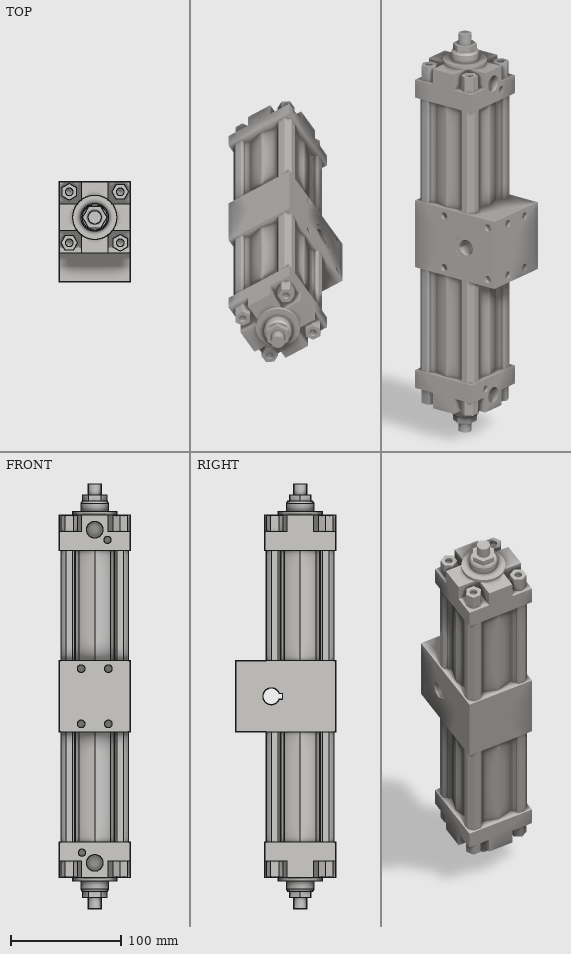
import cadquery as cq
import math


half_length = 193.0
nut_top = 183.0
nut_base = 177.0
boss_shoulder = 175.2
flange_top = 168.0
cover_top = 165.0
corner_step = 149.8
cover_base = 132.5

width = 65.0
half_width = width / 2

block_depth = 91.0
block_height = width
block_hole_diameter = 7.0
block_hole_depth = 9.5
block_hole_half_rise = 25.0
front_hole_half_spacing = 12.5
side_hole_half_spacing = 25.0

bore_y = -26.2
bore_diameter = 15.0
keyway_width = 5.0
keyway_reach = 10.0
bore_recess_diameter = 25.0
bore_recess_depth = 0.5

barrel_sides = 12
barrel_radius = 28.5
lug_outer = 31.0
lug_outer_chamfer = 4.5
lug_inner = 20.0
lug_inner_chamfer = 1.5
lug_step_level = 27.5
lug_step_width = 1.0

corner_notch = 12.0
tie_nut_top = 164.0
tie_nut_offset = 23.0
tie_nut_flats = 13.0
tie_hole_diameter = 7.0
tie_hole_depth = 4.0
tie_hole_cone = 2.5
port_diameter = 15.0
port_depth = 15.5
port_z = 151.5
bleed_diameter = 6.5
bleed_depth = 7.7
bleed_x = 11.5
bleed_z = 142.0

flange_diameter = 40.0
boss_diameter = 25.0
boss_top_diameter = 22.8
rod_nut_flats = 19.3
rod_diameter = 12.0


def hexagon_diameter(flats):
    """Corner-to-corner size of a hexagon from its size across flats."""
    return flats / math.cos(math.pi / 6)


def cylinder(diameter, bottom, top):
    return cq.Workplane("XY", origin=(0, 0, bottom)).circle(diameter / 2).extrude(top - bottom)


def hole_along_y(diameter, depth, face_y, x, z):
    """Cutter for a blind hole that enters a face looking toward -Y."""
    start = cq.Vector(x, face_y, z)
    return cq.Workplane(cq.Solid.makeCylinder(diameter / 2, depth, start, cq.Vector(0, 1, 0)))


def hole_along_x(diameter, depth, y, z):
    """Cutter for a blind hole that enters the block face looking toward -X."""
    start = cq.Vector(-half_width, y, z)
    return cq.Workplane(cq.Solid.makeCylinder(diameter / 2, depth, start, cq.Vector(1, 0, 0)))


def make_tube():
    """Tube on both sides of the block, with a stepped and chamfered lug at each corner."""
    bottom = cq.Workplane("XY", origin=(0, 0, -cover_base))
    tube = bottom.polygon(barrel_sides, 2 * barrel_radius).extrude(2 * cover_base)
    chamfer_start = lug_outer - lug_outer_chamfer
    wall = lug_inner - lug_inner_chamfer
    ledge = wall - lug_step_width
    half_outline = [
        (0, 0),
        (0, lug_step_level - ledge),
        (ledge, lug_step_level),
        (wall, lug_step_level),
        (wall, lug_outer - lug_inner_chamfer),
        (lug_inner, lug_outer),
        (chamfer_start, lug_outer),
    ]
    mirrored_half = [(y, x) for x, y in reversed(half_outline[1:])]
    lug = bottom.polyline(half_outline + mirrored_half).close().extrude(2 * cover_base)
    for quarter in range(4):
        tube = tube.union(lug.rotate((0, 0, 0), (0, 0, 1), 90 * quarter))
    return tube


def make_block():
    """Pinion block with four mounting holes in its -Y face and four in its -X face."""
    block_front = half_width - block_depth
    block = cq.Workplane("XY").box(width, block_depth, block_height)
    block = block.translate((0, half_width - block_depth / 2, 0))
    for side in (-1, 1):
        for level in (-1, 1):
            z = level * block_hole_half_rise
            x = side * front_hole_half_spacing
            y = bore_y + side * side_hole_half_spacing
            block = block.cut(hole_along_y(block_hole_diameter, block_hole_depth, block_front, x, z))
            block = block.cut(hole_along_x(block_hole_diameter, block_hole_depth, y, z))
    return block


def make_bore():
    """Cutter for the keyed through bore and the shallow round recess at its mouth."""
    bore = hole_along_x(bore_diameter, width, bore_y, 0)
    keyway = cq.Workplane("XY").box(width, keyway_reach, keyway_width)
    keyway = keyway.translate((0, bore_y + keyway_reach / 2, 0))
    recess = hole_along_x(bore_recess_diameter, bore_recess_depth, bore_y, 0)
    return bore.union(keyway).union(recess)


def make_tie_nut(turn):
    """Hexagonal tie-rod nut on the corner step, with a cone-bottomed hole in its top."""
    base = cq.Workplane("XY", origin=(0, 0, corner_step))
    nut = base.polygon(6, hexagon_diameter(tie_nut_flats)).extrude(tie_nut_top - corner_step)
    nut = nut.rotate((0, 0, 0), (0, 0, 1), turn)
    radius = tie_hole_diameter / 2
    floor = tie_nut_top - tie_hole_depth
    profile = [(0, tie_nut_top), (radius, tie_nut_top), (radius, floor), (0, floor - tie_hole_cone)]
    hole = cq.Workplane("XZ").polyline(profile).close().revolve(360, (0, 0), (0, 1))
    return nut.cut(hole)


def make_cover():
    """Upper end cover with its corner notches and tie-rod nuts."""
    base = cq.Workplane("XY", origin=(0, 0, cover_base))
    cover = base.rect(width, width).extrude(cover_top - cover_base)
    notch_size = half_width - corner_notch
    notch_floor = cq.Workplane("XY", origin=(0, 0, corner_step))
    notch = notch_floor.rect(notch_size, notch_size).extrude(cover_top - corner_step)
    notch_center = half_width - notch_size / 2
    for x_side in (-1, 1):
        for y_side in (-1, 1):
            cover = cover.cut(notch.translate((x_side * notch_center, y_side * notch_center, 0)))
            turn = 0 if x_side == y_side else 30
            nut = make_tie_nut(turn)
            cover = cover.union(nut.translate((x_side * tie_nut_offset, y_side * tie_nut_offset, 0)))
    return cover


def make_rod_end():
    """Flange, chamfered boss, hexagonal nut and rod tip above the upper cover."""
    flange = cylinder(flange_diameter, cover_top, flange_top)
    boss = cylinder(boss_diameter, flange_top, nut_base)
    boss = boss.faces(">Z").chamfer(nut_base - boss_shoulder, (boss_diameter - boss_top_diameter) / 2)
    nut_start = cq.Workplane("XY", origin=(0, 0, nut_base))
    nut = nut_start.polygon(6, hexagon_diameter(rod_nut_flats)).extrude(nut_top - nut_base)
    rod = cylinder(rod_diameter, nut_top, half_length)
    return flange.union(boss).union(nut).union(rod)


result = make_tube().union(make_block()).cut(make_bore())

upper_end = make_cover().union(make_rod_end())
for end in (-1, 1):
    end_assembly = upper_end if end > 0 else upper_end.mirror("XY")
    port = hole_along_y(port_diameter, port_depth, -half_width, 0, end * port_z)
    bleed = hole_along_y(bleed_diameter, bleed_depth, -half_width, end * bleed_x, end * bleed_z)
    result = result.union(end_assembly.cut(port).cut(bleed))